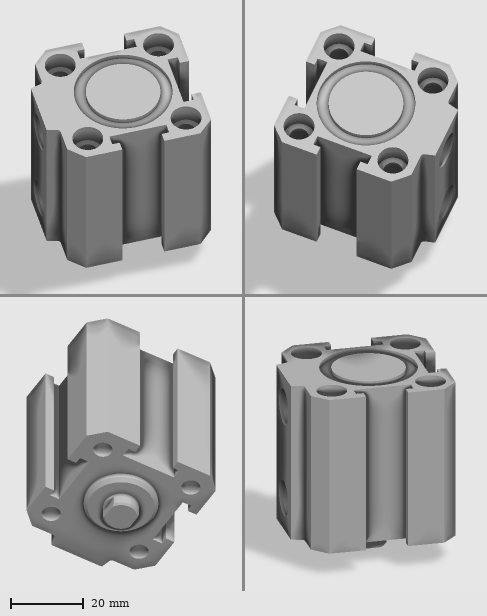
import cadquery as cq
import math

WIDTH = 41.0
HEIGHT = 45.5
HALF_WIDTH = WIDTH / 2
CORNER_CHAMFER = 4.2

SLOT_OPENING = 11.95
SLOT_INNER_WIDTH = 16.2
SLOT_LIP = 2.65
SLOT_DEPTH = 5.55

OVERALL_DEPTH = 44.5
PAD_HEIGHT = OVERALL_DEPTH - WIDTH
PAD_FACE_WIDTH = 16.0
PAD_FLANK_ANGLE = 15
PAD_ROOT_RADIUS = 1.0

PORT_DIAMETER = 8.6
PORT_MOUTH_DIAMETER = 10.2
PORT_CHAMFER = (PORT_MOUTH_DIAMETER - PORT_DIAMETER) / 2
PORT_DEPTH = 8.0
PORT_END_DISTANCE = 9.15

BOLT_SPACING = 28.0
BOLT_DIAMETER = 5.3
COUNTERBORE_DIAMETER = 8.5
COUNTERBORE_DEPTH = 5.4

RECESS_DIAMETER = 27.1
COVER_DIAMETER = 20.5
RECESS_DEPTH = 1.5
COLLAR_DIAMETER = 20.5
COLLAR_HEIGHT = 2.45
COLLAR_CHAMFER = 1.05

OVERALL_HEIGHT = 52
ROD_DIAMETER = 10.0
ROD_END_Z = HEIGHT - OVERALL_HEIGHT
ROD_INSERTION = HEIGHT / 2
ROD_CHAMFER = 0.5
FLAT_WIDTH = 8.0
FLAT_GAP = 1.0
FLAT_TOP_Z = -COLLAR_HEIGHT - FLAT_GAP


def make_profile():
    """Square body with bevelled corners."""
    block = cq.Workplane("XY").rect(WIDTH, WIDTH).extrude(HEIGHT)
    return block.edges("|Z").chamfer(CORNER_CHAMFER)


def make_port_pad():
    """Pad with sloping flanks and rounded roots that meet the front face."""
    slope = math.radians(PAD_FLANK_ANGLE)
    face_half = PAD_FACE_WIDTH / 2
    root_half = face_half + PAD_HEIGHT * math.tan(slope)
    turn = math.pi / 2 - slope
    tangent = PAD_ROOT_RADIUS * math.tan(turn / 2)
    front_y = -HALF_WIDTH
    arc_start_x = root_half + tangent
    arc_end = (root_half - tangent * math.sin(slope), front_y - tangent * math.cos(slope))
    arc_middle = (
        arc_start_x - PAD_ROOT_RADIUS * math.sin(turn / 2),
        front_y - PAD_ROOT_RADIUS * (1 - math.cos(turn / 2)),
    )
    return (
        cq.Workplane("XY")
        .moveTo(-arc_start_x, front_y)
        .threePointArc((-arc_middle[0], arc_middle[1]), (-arc_end[0], arc_end[1]))
        .lineTo(-face_half, front_y - PAD_HEIGHT)
        .lineTo(face_half, front_y - PAD_HEIGHT)
        .lineTo(*arc_end)
        .threePointArc(arc_middle, (arc_start_x, front_y))
        .lineTo(0, 0)
        .close()
        .extrude(HEIGHT)
    )


def make_t_slot(angle):
    """T-slot cutter in the back face, turned about Z by the given angle."""
    opening = (
        cq.Workplane("XY")
        .center(0, HALF_WIDTH - SLOT_DEPTH / 2)
        .rect(SLOT_OPENING, SLOT_DEPTH)
        .extrude(HEIGHT)
    )
    inner_depth = SLOT_DEPTH - SLOT_LIP
    inner = (
        cq.Workplane("XY")
        .center(0, HALF_WIDTH - SLOT_LIP - inner_depth / 2)
        .rect(SLOT_INNER_WIDTH, inner_depth)
        .extrude(HEIGHT)
    )
    return opening.union(inner).rotate((0, 0, 0), (0, 0, 1), angle)


def make_port(z):
    """Blind port cutter with a chamfered mouth on the pad face."""
    radius = PORT_DIAMETER / 2
    section = (
        cq.Workplane("XY")
        .moveTo(0, 0)
        .lineTo(PORT_MOUTH_DIAMETER / 2, 0)
        .lineTo(radius, PORT_CHAMFER)
        .lineTo(radius, PORT_DEPTH)
        .lineTo(0, PORT_DEPTH)
        .close()
    )
    return section.revolve(360, (0, 0, 0), (0, 1, 0)).translate((0, -HALF_WIDTH - PAD_HEIGHT, z))


def make_rod_blank():
    """Round rod from its outer end to the closed end of its hole."""
    return (
        cq.Workplane("XY")
        .workplane(offset=ROD_END_Z)
        .circle(ROD_DIAMETER / 2)
        .extrude(ROD_INSERTION - ROD_END_Z)
    )


def make_collar():
    """Collar under the housing with a bevelled lower rim."""
    collar = cq.Workplane("XY").circle(COLLAR_DIAMETER / 2).extrude(-COLLAR_HEIGHT)
    return collar.faces("<Z").edges().chamfer(COLLAR_CHAMFER)


def make_housing():
    housing = make_profile().union(make_port_pad())

    for angle in (0, 90, -90):
        housing = housing.cut(make_t_slot(angle))

    for port_z in (PORT_END_DISTANCE, HEIGHT - PORT_END_DISTANCE):
        housing = housing.cut(make_port(port_z))

    housing = (
        housing.faces(">Z")
        .workplane(origin=(0, 0, HEIGHT))
        .rect(BOLT_SPACING, BOLT_SPACING, forConstruction=True)
        .vertices()
        .cboreHole(BOLT_DIAMETER, COUNTERBORE_DIAMETER, COUNTERBORE_DEPTH)
    )

    ring_recess = (
        cq.Workplane("XY")
        .workplane(offset=HEIGHT)
        .circle(RECESS_DIAMETER / 2)
        .circle(COVER_DIAMETER / 2)
        .extrude(-RECESS_DEPTH)
    )
    return housing.cut(ring_recess).union(make_collar()).cut(make_rod_blank())


def make_piston_rod():
    """Rod with a bevelled end and two wrench flats facing -X and +X."""
    rod = make_rod_blank().faces("<Z").edges().chamfer(ROD_CHAMFER)
    flat_length = FLAT_TOP_Z - ROD_END_Z
    flat_depth = (ROD_DIAMETER - FLAT_WIDTH) / 2
    for side in (-1, 1):
        flat_cutter = cq.Workplane("XY").box(flat_depth, ROD_DIAMETER, flat_length).translate(
            (side * (FLAT_WIDTH + flat_depth) / 2, 0, ROD_END_Z + flat_length / 2)
        )
        rod = rod.cut(flat_cutter)
    return rod


housing = make_housing()
piston_rod = make_piston_rod()
result = cq.Compound.makeCompound([housing.val(), piston_rod.val()])